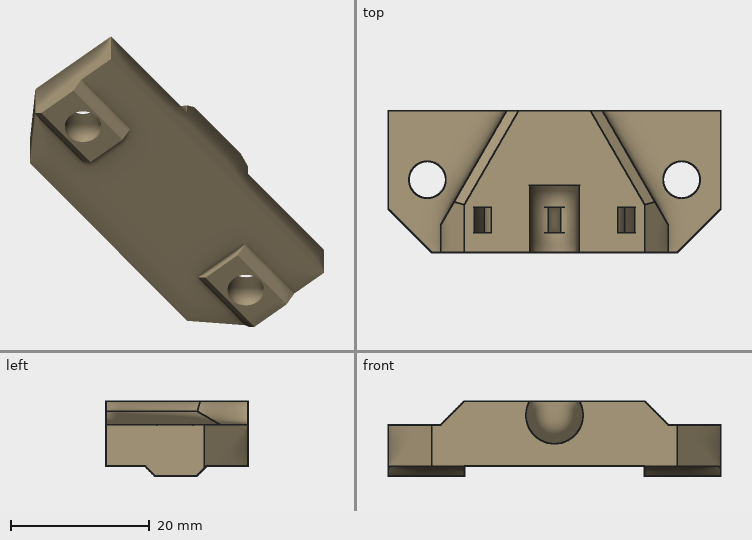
import cadquery as cq
import math

length = 48.0
depth = 20.5
height = 10.8

pad_height = 1.45
base_thickness = 5.95
ledge_z = pad_height + base_thickness
corner_x = 6.3
corner_y = 6.3
hole_diameter = 5.3
hole_x = 18.35
hole_y = 10.5

block_half_width = 16.4
block_straight = 4.0
block_taper_angle = 30.0
edge_chamfer = 1.5

pad_inner_x = 12.95
pad_front_y = 5.95
pad_back_y = 14.9

bore_radius = 4.15
bore_z = height - 2.0
bore_depth = 9.7

channel_front_y = 2.9
channel_width = 3.65
channel_center_x = 6.6
channel_z = height - 2.5
channel_inner_radius = 3.55
channel_outer_radius = 5.6


def prism_along_y(points, start_y, end_y):
    """Extrude an XZ outline from start_y to end_y."""
    plane = cq.Workplane("XZ", origin=(0, start_y, 0))
    return plane.polyline(points).close().extrude(start_y - end_y)


def make_base():
    half = length / 2
    outline = [
        (corner_x - half, 0),
        (half - corner_x, 0),
        (half, corner_y),
        (half, depth),
        (-half, depth),
        (-half, corner_y),
    ]
    return cq.Workplane("XY").polyline(outline).close().extrude(height)


def make_tapered_outline(inset, bottom_z):
    """Wire of the block's plan, with its tapered sides moved inward by inset."""
    taper = math.radians(block_taper_angle)
    inset_x = inset / math.cos(taper)
    front_half = block_half_width - inset_x + block_straight * math.tan(taper)
    back_half = front_half - depth * math.tan(taper)
    outline = [
        (-front_half, 0),
        (front_half, 0),
        (back_half, depth),
        (-back_half, depth),
    ]
    return cq.Workplane("XY").workplane(offset=bottom_z).polyline(outline).close()


def make_block():
    rise = height - ledge_z
    top_half = block_half_width - rise
    profile = [
        (-block_half_width, ledge_z),
        (block_half_width, ledge_z),
        (top_half, height),
        (-top_half, height),
    ]
    block = prism_along_y(profile, 0, depth)
    chamfer_z = height - edge_chamfer
    lower = make_tapered_outline(0, ledge_z).extrude(chamfer_z - ledge_z)
    bottom_wire = make_tapered_outline(0, chamfer_z).wire().val()
    top_wire = make_tapered_outline(edge_chamfer, height).wire().val()
    upper = cq.Workplane(cq.Solid.makeLoft([bottom_wire, top_wire], True))
    return block.intersect(lower.union(upper))


def make_pads():
    profile = [
        (pad_front_y, pad_height),
        (pad_front_y + pad_height, 0),
        (pad_back_y - pad_height, 0),
        (pad_back_y, pad_height),
    ]
    bar = cq.Workplane("YZ", origin=(pad_inner_x, 0, 0)).polyline(profile).close()
    pad = bar.extrude(length / 2 - pad_inner_x)
    return pad.union(pad.mirror("YZ"))


def make_racetrack(radius):
    """Horizontal racetrack in XZ, as deep in Y as the strap channel."""
    plane = cq.Workplane("XZ", origin=(0, channel_front_y, channel_z))
    return plane.slot2D(2 * (channel_center_x + radius), 2 * radius).extrude(-channel_width)


base = make_base()
plate = base.intersect(
    cq.Workplane("XY").box(length, depth, base_thickness, centered=(True, False, False))
    .translate((0, 0, pad_height))
)
pads = make_pads().intersect(base)
result = plate.union(make_block()).union(pads)

holes = (
    cq.Workplane("XY")
    .pushPoints([(-hole_x, hole_y), (hole_x, hole_y)])
    .circle(hole_diameter / 2)
    .extrude(height)
)
result = result.cut(holes)

bore = cq.Workplane("XZ", origin=(0, 0, bore_z)).circle(bore_radius).extrude(-bore_depth)
result = result.cut(bore)

channel = make_racetrack(channel_outer_radius).cut(make_racetrack(channel_inner_radius))
result = result.cut(channel)